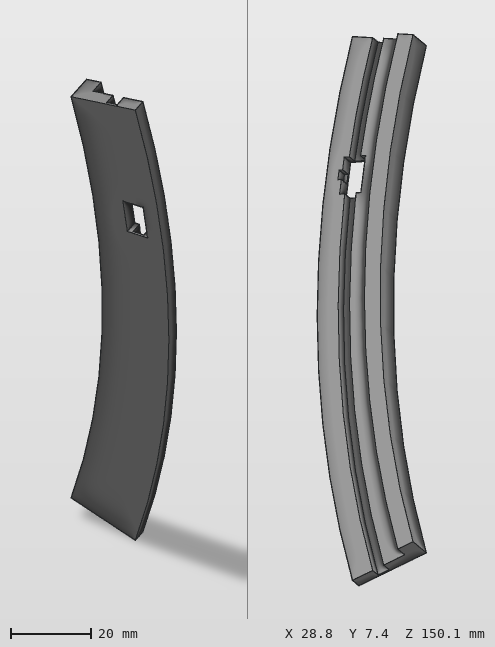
import cadquery as cq
import math

outer_radius = 290.0
inner_radius = 270.4
half_angle = 15.0
total_depth = 7.4

rim_width = 4.4
plate_depth = 3.6

groove_offset = 10.5
groove_width = 3.2
skin_depth = 0.6
groove_inner = inner_radius + groove_offset
groove_outer = groove_inner + groove_width

window_angle = 7.5
window_radius = (groove_inner + groove_outer) / 2
window_width = 6.0
window_length = 10.0

notch_reach = 1.0
notch_length = 2.6
notch_offset = 0.3


def polar(radius, angle):
    """Point in the XZ plane at a radius and an angle in degrees from +X."""
    turn = math.radians(angle)
    return (radius * math.cos(turn), radius * math.sin(turn))


def sector(start_radius, end_radius, front, back):
    """Ring sector between two radii and two depths along +Y."""
    plane = cq.Workplane("XZ", origin=(0, front, 0))
    outline = (
        plane.moveTo(*polar(start_radius, -half_angle))
        .lineTo(*polar(end_radius, -half_angle))
        .threePointArc(polar(end_radius, 0), polar(end_radius, half_angle))
        .lineTo(*polar(start_radius, half_angle))
        .threePointArc(polar(start_radius, 0), polar(start_radius, -half_angle))
        .close()
    )
    return outline.extrude(front - back)


def window_block(start_radius, end_radius, front, length, tangent_offset):
    """Block from a front depth through the back of the plate, square to the radius at the window."""
    block = cq.Workplane("XY").box(
        end_radius - start_radius, plate_depth - front, length, centered=(False, False, True)
    )
    block = block.translate((start_radius, front, tangent_offset))
    return block.rotate((0, 0, 0), (0, 1, 0), -window_angle)


def body():
    """Plate with the raised rim."""
    plate = sector(inner_radius, outer_radius, 0, plate_depth)
    rim = sector(inner_radius, inner_radius + rim_width, 0, total_depth)
    return plate.union(rim)


def groove():
    """Channel running the full length of the plate."""
    return sector(groove_inner, groove_outer, skin_depth, plate_depth)


def window():
    """Rectangular opening through the full plate."""
    half_width = window_width / 2
    return window_block(window_radius - half_width, window_radius + half_width, 0, window_length, 0)


def notch():
    """Shallow widening of the window towards the outer edge, behind the skin."""
    notch_end = window_radius + window_width / 2 + notch_reach
    return window_block(window_radius, notch_end, skin_depth, notch_length, notch_offset)


result = body().cut(groove()).cut(window()).cut(notch())